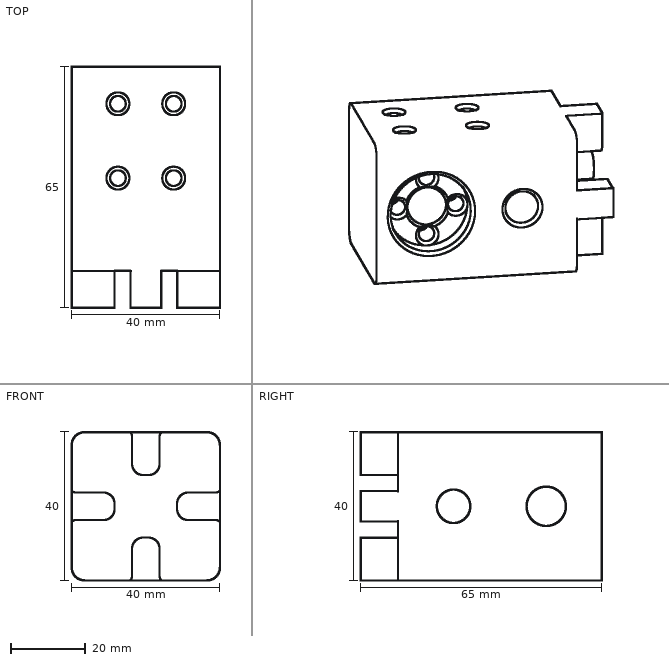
import cadquery as cq
import math

length = 65.0
width = 40.0
half_width = width / 2
edge_radius = 3.5

tongue_length = 10.0
tongue_depth = 11.6
tongue_width = 7.4
tongue_tip_radius = 3.0
tongue_root_width = 8.3
tongue_root_radius = 2.0

tapped_diameter = 4.2
tapped_mouth_diameter = 6.2
tapped_depth = 10.0
top_hole_spacing_x = 15.0
top_hole_spacing_y = 20.0
top_hole_back_offset = 10.0

seat_back_offset = 15.0
seat_diameter = 22.0
seat_mouth_diameter = 24.0
seat_depth = 6.0
bore_diameter = 10.5
bore_mouth_diameter = 12.0
flange_bolt_circle = 16.0
flange_bolt_count = 4

cross_hole_back_offset = 40.0
cross_hole_diameter = 9.0
cross_hole_mouth_diameter = 11.0

DOWN = cq.Vector(0, 0, -1)
INWARD_X = cq.Vector(1, 0, 0)


def chamfered_hole(mouth_center, direction, diameter, mouth_diameter, depth):
    """Cutter for a flat-bottomed hole with a 45 degree chamfer at its mouth."""
    radius = diameter / 2
    mouth_radius = mouth_diameter / 2
    chamfer_depth = mouth_radius - radius
    center = cq.Vector(*mouth_center)
    drill = cq.Solid.makeCylinder(radius, depth, center, direction)
    countersink = cq.Solid.makeCone(mouth_radius, radius, chamfer_depth, center, direction)
    return drill.fuse(countersink)


def make_body():
    """Square block with rounded long edges."""
    return (
        cq.Workplane("XY")
        .box(width, length - tongue_length, width)
        .edges("|Y")
        .fillet(edge_radius)
        .translate((0, (length + tongue_length) / 2, 0))
    )


def make_tongue():
    """Tongue at the top side: rounded tip, flaring by concave arcs to the outer face."""
    half_tongue = tongue_width / 2
    half_root = tongue_root_width / 2
    flare_step = half_root - half_tongue
    flare_height = math.sqrt(tongue_root_radius**2 - (tongue_root_radius - flare_step) ** 2)
    flare_z = half_width - flare_height
    tip_z = half_width - tongue_depth
    return (
        cq.Workplane("XZ")
        .moveTo(-half_root, half_width)
        .lineTo(half_root, half_width)
        .radiusArc((half_tongue, flare_z), -tongue_root_radius)
        .lineTo(half_tongue, tip_z + tongue_tip_radius)
        .radiusArc((half_tongue - tongue_tip_radius, tip_z), tongue_tip_radius)
        .lineTo(tongue_tip_radius - half_tongue, tip_z)
        .radiusArc((-half_tongue, tip_z + tongue_tip_radius), tongue_tip_radius)
        .lineTo(-half_tongue, flare_z)
        .radiusArc((-half_root, half_width), -tongue_root_radius)
        .close()
        .extrude(-tongue_length)
    )


def cut_top_holes(part):
    """Two by two pattern of tapped holes in the top face."""
    back_row_y = length - top_hole_back_offset
    for x in (-top_hole_spacing_x / 2, top_hole_spacing_x / 2):
        for y in (back_row_y, back_row_y - top_hole_spacing_y):
            mouth = (x, y, half_width)
            part = part.cut(
                chamfered_hole(mouth, DOWN, tapped_diameter, tapped_mouth_diameter, tapped_depth)
            )
    return part


def cut_flange_seat(part):
    """Seat, its through bore and its ring of tapped holes."""
    seat_y = length - seat_back_offset
    floor_x = seat_depth - half_width
    side_mouth = (-half_width, seat_y, 0)
    floor_mouth = (floor_x, seat_y, 0)
    bore_depth = width - seat_depth
    part = part.cut(
        chamfered_hole(side_mouth, INWARD_X, seat_diameter, seat_mouth_diameter, seat_depth)
    )
    part = part.cut(
        chamfered_hole(floor_mouth, INWARD_X, bore_diameter, bore_mouth_diameter, bore_depth)
    )
    for index in range(flange_bolt_count):
        angle = 2 * math.pi * index / flange_bolt_count
        bolt_y = seat_y + flange_bolt_circle / 2 * math.cos(angle)
        bolt_z = flange_bolt_circle / 2 * math.sin(angle)
        mouth = (floor_x, bolt_y, bolt_z)
        part = part.cut(
            chamfered_hole(mouth, INWARD_X, tapped_diameter, tapped_mouth_diameter, tapped_depth)
        )
    return part


def cut_cross_hole(part):
    """Through hole with its mouth chamfered on the -X side."""
    mouth = (-half_width, length - cross_hole_back_offset, 0)
    return part.cut(
        chamfered_hole(mouth, INWARD_X, cross_hole_diameter, cross_hole_mouth_diameter, width)
    )


result = make_body()
tongue = make_tongue()
for turn in (0, 90, 180, 270):
    result = result.union(tongue.rotate((0, 0, 0), (0, 1, 0), turn))
result = cut_top_holes(result)
result = cut_flange_seat(result)
result = cut_cross_hole(result)